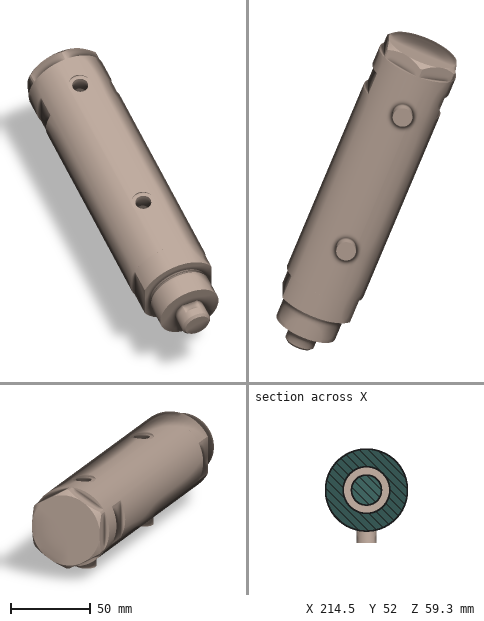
import cadquery as cq


outer_radius = 52.0 / 2
across_flats = 45.9
clearance_width = 3 * outer_radius

flange_start = 8.8
tube_start = 11.4
tube_end = 168.7
wrench_end = 184.4
neck_end = 185.5
collar_start = 187.4
collar_end = 202.2
rod_end = 214.5

hex_chamfer = 3.0
plug_end = 34.7

bore_radius = 14.5
tube_flat_start = 21.0
tube_flat_end = 36.0
port_positions = (30.5, 129.7)
port_diameter = 10.0
spotface_diameter = 15.0
spotface_depth = 1.0
peg_positions = (35.2, 132.7)
peg_diameter = 12.5
peg_length = 7.3
peg_bottom = -outer_radius - peg_length

spigot_start = 132.7
spigot_radius = 21.9
neck_radius = 19.5
groove_radius = 19.0
collar_radius = 40.0 / 2

rod_radius = 9.6
rod_flats = 16.5
rod_flat_end = 208.0
rod_chamfer = 1.5


def disc(start, end, radius):
    """Solid cylinder on the X axis between two stations."""
    return cq.Workplane("YZ", origin=(start, 0, 0)).circle(radius).extrude(end - start)


def flats_block(start, end, width):
    """Block between two stations that is `width` across in Y and taller than the part in Z."""
    length = end - start
    block = cq.Workplane("XY").box(length, width, clearance_width)
    return block.translate((start + length / 2, 0, 0))


def turned(shape, angle):
    """Shape turned about the X axis."""
    return shape.rotate((0, 0, 0), (1, 0, 0), angle)


def cut_flats(body, start, end, width, angle=0):
    """Cut two opposite flats, `width` apart, into a round body; at angle 0 they face -Y and +Y."""
    waste = disc(start, end, clearance_width / 2).cut(turned(flats_block(start, end, width), angle))
    return body.cut(waste)


def vertical_bar(x, diameter, bottom, top):
    """Vertical round bar centred on the XZ plane."""
    return cq.Workplane("XY", origin=(x, 0, bottom)).circle(diameter / 2).extrude(top - bottom)


def make_cap():
    """Hexagonal end cap with a round flange and a plug that closes the tube."""
    head = disc(0, flange_start, outer_radius).faces("<X").chamfer(hex_chamfer)
    for angle in (0, 60, 120):
        head = cut_flats(head, 0, flange_start, across_flats, angle)
    flange = disc(flange_start, tube_start, outer_radius)
    return head.union(flange).union(disc(tube_start, plug_end, bore_radius))


def make_tube():
    """Bored tube with two wrench flats, two ports on top and two pegs below."""
    tube = disc(tube_start, tube_end, outer_radius)
    tube = cut_flats(tube, tube_flat_start, tube_flat_end, across_flats)
    for x in peg_positions:
        tube = tube.union(vertical_bar(x, peg_diameter, peg_bottom, 0))
    for x in port_positions:
        tube = tube.cut(vertical_bar(x, spotface_diameter, outer_radius - spotface_depth, outer_radius))
        tube = tube.cut(vertical_bar(x, port_diameter, 0, outer_radius))
    tube = tube.cut(disc(tube_start, spigot_start, bore_radius))
    return tube.cut(disc(spigot_start, tube_end, spigot_radius))


def make_gland():
    """Gland with a spigot in the tube, a section with two wrench flats and a grooved neck and collar."""
    wrench = disc(tube_end, wrench_end, outer_radius)
    wrench = cut_flats(wrench, tube_end, wrench_end, across_flats)
    groove_end = collar_start - (collar_radius - groove_radius)
    nose = (
        cq.Workplane("XY")
        .moveTo(wrench_end, 0)
        .lineTo(wrench_end, neck_radius)
        .lineTo(neck_end, neck_radius)
        .lineTo(neck_end, groove_radius)
        .lineTo(groove_end, groove_radius)
        .lineTo(collar_start, collar_radius)
        .lineTo(collar_end, collar_radius)
        .lineTo(collar_end, 0)
        .close()
        .revolve(360, (0, 0, 0), (1, 0, 0))
    )
    spigot = disc(spigot_start, tube_end, spigot_radius)
    return spigot.union(wrench).union(nose).cut(disc(spigot_start, collar_end, rod_radius))


def make_rod():
    """Rod with a chamfered end and two flats, above and below, next to the collar."""
    rod = disc(plug_end, rod_end, rod_radius).faces(">X").chamfer(rod_chamfer)
    return cut_flats(rod, collar_end, rod_flat_end, rod_flats, angle=90)


cap = make_cap()
tube = make_tube()
gland = make_gland()
rod = make_rod()

result = cq.Compound.makeCompound([cap.val(), tube.val(), gland.val(), rod.val()])